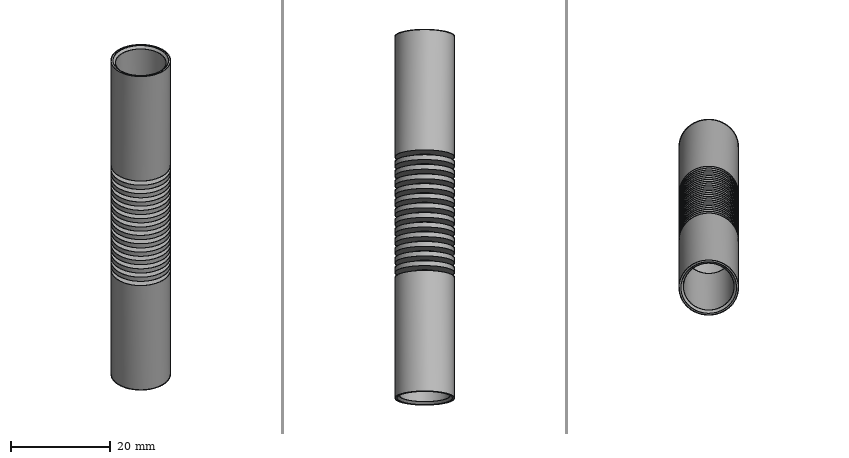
import cadquery as cq
import math

length = 75.0
outer_diameter = 12.0
neck_diameter = 5.1
wall = 0.9
lip_chamfer = 0.5
bore_depth = 20.0
drill_point_angle = 118.0
fin_count = 12

groove_count = fin_count + 1
finned_length = length / 3
groove_width = finned_length / (fin_count + groove_count)
groove_pitch = 2 * groove_width
finned_start = (length - finned_length) / 2

outer_radius = outer_diameter / 2
bore_radius = outer_radius - wall
point_depth = bore_radius / math.tan(math.radians(drill_point_angle / 2))


def groove(z_start):
    """Ring, wider than the rod, that cuts it down to the neck from height z_start up."""
    return (
        cq.Workplane("XY", origin=(0, 0, z_start))
        .circle(outer_diameter)
        .circle(neck_diameter / 2)
        .extrude(groove_width)
    )


def top_bore():
    """Blind bore in the top end, with a chamfered mouth and a conical bottom."""
    return (
        cq.Workplane("XZ")
        .moveTo(0, length)
        .lineTo(bore_radius + lip_chamfer, length)
        .lineTo(bore_radius, length - lip_chamfer)
        .lineTo(bore_radius, length - bore_depth)
        .lineTo(0, length - bore_depth - point_depth)
        .close()
        .revolve(360, (0, 0, 0), (0, 1, 0))
    )


rod = cq.Workplane("XY").circle(outer_radius).extrude(length)

for index in range(groove_count):
    rod = rod.cut(groove(finned_start + index * groove_pitch))

bore = top_bore()
rod = rod.cut(bore)
result = rod.cut(bore.mirror("XY", (0, 0, length / 2)))